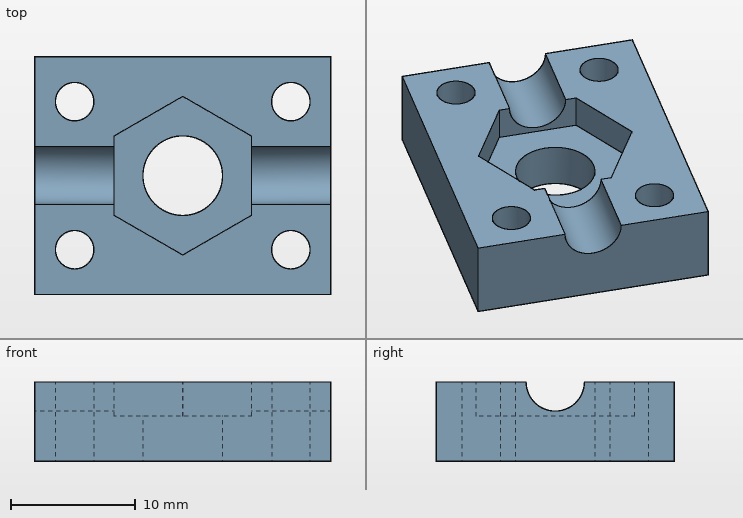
import cadquery as cq
import math

length = 23.7
width = 19.05
height = 6.35

bolt_hole_diameter = 3.05
bolt_spacing_x = 17.3
bolt_spacing_y = 11.85

bore_diameter = 6.35
hex_across_flats = 11.0
hex_across_corners = hex_across_flats / math.cos(math.radians(30))
hex_depth = 2.73

groove_diameter = 4.65

block = cq.Workplane("XY").box(length, width, height, centered=(True, True, False))

bolt_holes = (
    cq.Workplane("XY")
    .rect(bolt_spacing_x, bolt_spacing_y, forConstruction=True)
    .vertices()
    .circle(bolt_hole_diameter / 2)
    .extrude(height)
)

bore = cq.Workplane("XY").circle(bore_diameter / 2).extrude(height)

hex_pocket = (
    cq.Workplane("XY")
    .workplane(offset=height - hex_depth)
    .transformed(rotate=(0, 0, 90))
    .polygon(6, hex_across_corners)
    .extrude(hex_depth)
)

groove = (
    cq.Workplane("YZ")
    .workplane(offset=-length / 2)
    .center(0, height)
    .circle(groove_diameter / 2)
    .extrude(length)
)

result = block.cut(bolt_holes).cut(bore).cut(hex_pocket).cut(groove)